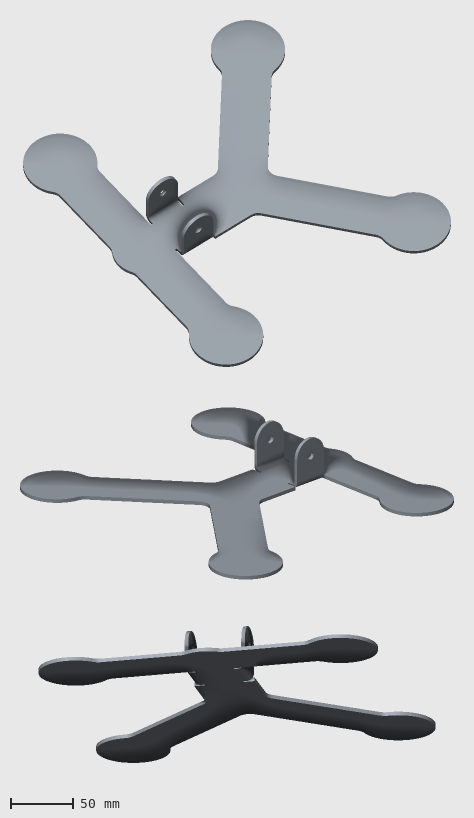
import cadquery as cq
import math

overall_width = 279.8
overall_depth = 250.0
overall_height = 40.3
thickness = 3.0

pad_radius = 30.0
bar_width = 40.0
stem_width = 50.0
junction_y = 100.0
corner_fillet = 10.0

tab_width = 30.0
tab_hole_diameter = 6.7
bend_inner_radius = 3.0
slot_width = 2.0
slot_root_x = 16.0
tolerance = 0.03

pad_x = overall_width / 2 - pad_radius
arm_pad_y = overall_depth - 2 * pad_radius
arm_rise = arm_pad_y - junction_y
arm_length = math.hypot(pad_x, arm_rise)
arm_angle = math.degrees(math.atan2(arm_rise, pad_x))
stem_half = stem_width / 2
bend_outer_radius = bend_inner_radius + thickness
bend_start_x = stem_half - bend_outer_radius
tab_start_y = bar_width / 2 + slot_width
tab_center_y = tab_start_y + tab_width / 2
tab_end_y = tab_start_y + tab_width
tab_round_radius = tab_width / 2
hole_z = overall_height - tab_round_radius


def slab(length, width, center_x, center_y, angle=0):
    """Flat strip of plate, turned about its own centre."""
    strip = cq.Workplane("XY").box(length, width, thickness, centered=(True, True, False))
    return strip.rotate((0, 0, 0), (0, 0, 1), angle).translate((center_x, center_y, 0))


def disc(radius, center_x, center_y):
    return cq.Workplane("XY").center(center_x, center_y).circle(radius).extrude(thickness)


def arm(side):
    """Diagonal arm from the junction to an upper pad; side is -1 or 1."""
    middle_y = (junction_y + arm_pad_y) / 2
    return slab(arm_length, bar_width, side * pad_x / 2, middle_y, side * arm_angle)


def inside_corners(plate):
    """Corners to round: all but the pad seams and the square corners where stem meets bar."""
    seam_x = overall_width / 2
    corners = []
    for edge in plate.edges("|Z").vals():
        place = edge.Center()
        is_seam = abs(place.x - seam_x) < tolerance
        is_on_bar_top = abs(place.y - bar_width / 2) < tolerance
        is_stem_foot = is_on_bar_top and abs(abs(place.x) - stem_half) < tolerance
        if not (is_seam or is_stem_foot):
            corners.append(edge)
    return corners


def make_plate():
    """Y-shaped plate with round pads and a round bulge under the stem."""
    plate = slab(2 * pad_x, bar_width, 0, 0)
    plate = plate.union(slab(stem_width, junction_y, 0, junction_y / 2))
    plate = plate.union(disc(stem_half, 0, 0))
    for side in (-1, 1):
        plate = plate.union(arm(side))
        for pad_y in (0, arm_pad_y):
            plate = plate.union(disc(pad_radius, side * pad_x, pad_y))
    plate = plate.clean()
    return plate.newObject(inside_corners(plate)).fillet(corner_fillet)


def make_notch():
    """Window at the right of the stem that frees the tab and its two relief slots."""
    notch_width = stem_half - slot_root_x
    notch_length = tab_width + 2 * slot_width
    return slab(notch_width, notch_length, slot_root_x + notch_width / 2, tab_center_y)


def make_tab():
    """Right-hand tab: bent up from the plate, round-topped and drilled."""
    bend_reach = math.sqrt(0.5)
    profile = (
        cq.Workplane("XZ", origin=(0, tab_end_y, 0))
        .moveTo(slot_root_x, 0)
        .lineTo(bend_start_x, 0)
        .threePointArc(
            (bend_start_x + bend_outer_radius * bend_reach, bend_outer_radius * (1 - bend_reach)),
            (stem_half, bend_outer_radius),
        )
        .lineTo(stem_half, overall_height)
        .lineTo(stem_half - thickness, overall_height)
        .lineTo(stem_half - thickness, bend_outer_radius)
        .threePointArc(
            (
                bend_start_x + bend_inner_radius * bend_reach,
                bend_outer_radius - bend_inner_radius * bend_reach,
            ),
            (bend_start_x, thickness),
        )
        .lineTo(slot_root_x, thickness)
        .close()
        .extrude(tab_width)
    )
    face_plane = cq.Workplane("YZ").center(tab_center_y, 0)
    outline = face_plane.rect(tab_width, 2 * hole_z).extrude(stem_half)
    outline = outline.union(face_plane.center(0, hole_z).circle(tab_round_radius).extrude(stem_half))
    hole = face_plane.center(0, hole_z).circle(tab_hole_diameter / 2).extrude(stem_half)
    return profile.intersect(outline).cut(hole)


notch = make_notch()
tab = make_tab()
result = (
    make_plate()
    .cut(notch)
    .cut(notch.mirror("YZ"))
    .union(tab)
    .union(tab.mirror("YZ"))
)